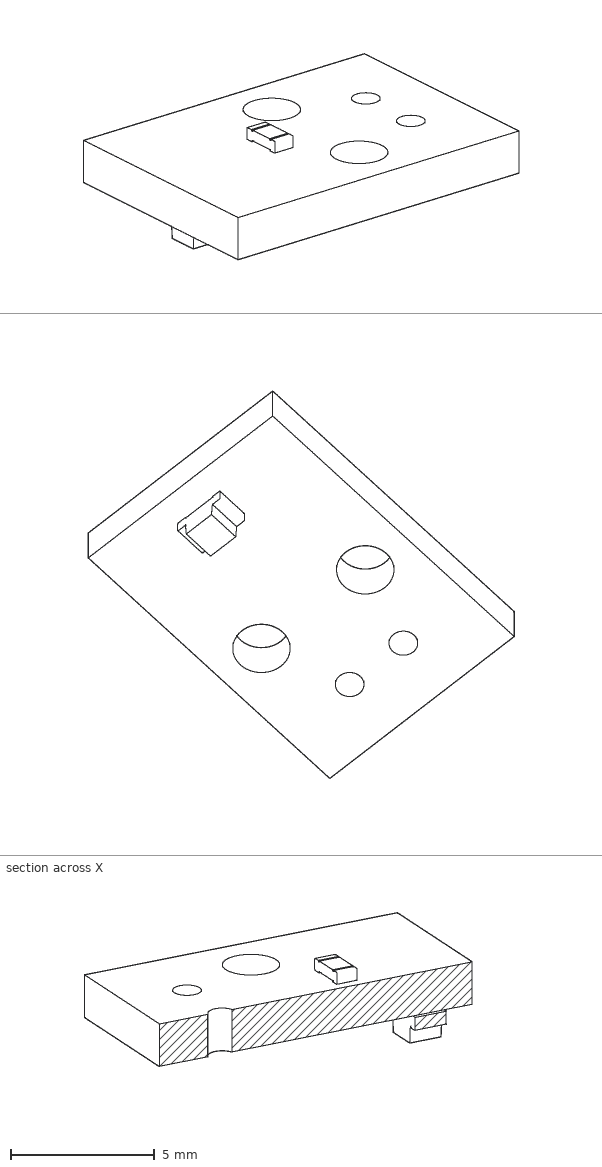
import cadquery as cq

BOARD_LENGTH_X = 8.72
BOARD_LENGTH_Y = 12.44
BOARD_THICKNESS = 1.6
SMALL_HOLE_DIAMETER = 1.0
SMALL_HOLE_CENTERS = [(-1.21, 3.81), (1.33, 3.81)]
LARGE_HOLE_DIAMETER = 2.0
LARGE_HOLE_CENTERS = [(-2.46, 0.63), (2.41, 0.67)]

STANDOFF = 0.05
PLATING = 0.045
CAP_EDGE_RADIUS = 0.04

RESISTOR_LENGTH = 1.6
RESISTOR_WIDTH = 0.8
RESISTOR_HEIGHT = 0.45
RESISTOR_CENTER = (-0.03, -1.36)
RESISTOR_FOOT_LENGTH = 0.3
RESISTOR_CAP_TOP_LENGTH = 0.26
COATING_GAP = 0.05

LED_LENGTH = 2.0
LED_WIDTH = 1.25
LED_TOTAL_HEIGHT = 1.1
LED_BASE_HEIGHT = 0.5
LED_CENTER = (-0.07, -4.57)
LED_CAP_LENGTH = 0.36
LENS_TIP_LENGTH = 1.19


def block(length, width, height, bottom=0):
    """Block centred in X and Y that stands on the given height."""
    centered = (True, True, False)
    return cq.Workplane("XY", origin=(0, 0, bottom)).box(length, width, height, centered=centered)


def capped_chip(length, width, height, foot_length, cap_top_length):
    """Core between two C-shaped metal end caps, with the cap feet on Z = 0."""
    core_height = height - 2 * PLATING
    core = block(length - 2 * PLATING, width, core_height, PLATING)
    foot_gap = block(length - 2 * foot_length, width, PLATING)
    top_gap = block(length - 2 * cap_top_length, width, PLATING, height - PLATING)
    caps = block(length, width, height).edges("|Y").fillet(CAP_EDGE_RADIUS)
    caps = caps.cut(core).cut(foot_gap).cut(top_gap)
    return core.union(caps, clean=False)


def make_board():
    holes = (
        cq.Workplane("XY")
        .pushPoints(SMALL_HOLE_CENTERS)
        .circle(SMALL_HOLE_DIAMETER / 2)
        .extrude(BOARD_THICKNESS)
        .pushPoints(LARGE_HOLE_CENTERS)
        .circle(LARGE_HOLE_DIAMETER / 2)
        .extrude(BOARD_THICKNESS)
    )
    return block(BOARD_LENGTH_X, BOARD_LENGTH_Y, BOARD_THICKNESS).cut(holes)


def make_resistor():
    """Capped chip with a protective coating on top of the core, between the caps."""
    chip = capped_chip(
        RESISTOR_LENGTH, RESISTOR_WIDTH, RESISTOR_HEIGHT, RESISTOR_FOOT_LENGTH, RESISTOR_CAP_TOP_LENGTH
    )
    coating_length = RESISTOR_LENGTH - 2 * (RESISTOR_CAP_TOP_LENGTH + COATING_GAP)
    coating = block(coating_length, RESISTOR_WIDTH, PLATING, RESISTOR_HEIGHT - PLATING)
    resistor = chip.union(coating, clean=False)
    return resistor.translate((*RESISTOR_CENTER, BOARD_THICKNESS + STANDOFF))


def make_led():
    """Capped chip with a tapered lens, built lens up and then turned over below the board."""
    chip = capped_chip(LED_LENGTH, LED_WIDTH, LED_BASE_HEIGHT, LED_CAP_LENGTH, LED_CAP_LENGTH)
    lens_root_z = LED_BASE_HEIGHT - PLATING
    lens_root_length = LED_LENGTH - 2 * LED_CAP_LENGTH
    lens = (
        cq.Workplane("XZ")
        .moveTo(-lens_root_length / 2, lens_root_z)
        .lineTo(lens_root_length / 2, lens_root_z)
        .lineTo(LENS_TIP_LENGTH / 2, LED_TOTAL_HEIGHT)
        .lineTo(-LENS_TIP_LENGTH / 2, LED_TOTAL_HEIGHT)
        .close()
        .extrude(LED_WIDTH / 2, both=True)
    )
    led = chip.union(lens, clean=False).rotate((0, 0, 0), (1, 0, 0), 180)
    return led.translate((*LED_CENTER, -STANDOFF))


board = make_board().solids()
resistor = make_resistor().solids()
led = make_led().solids()

result = cq.Compound.makeCompound([board.val(), resistor.val(), led.val()])